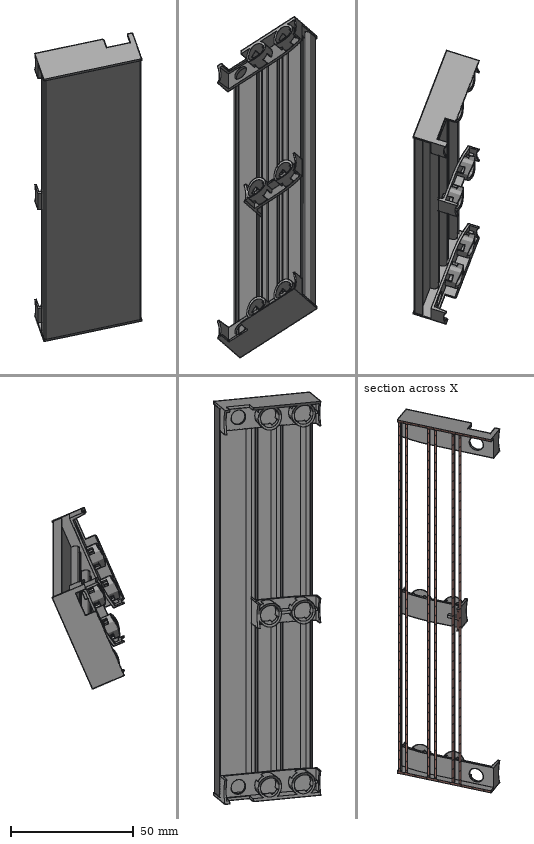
import cadquery as cq
import math

DEPTH = 14.3
WIDTH = 41.5
LENGTH = 168.0

RAIL_INSET = 0.2
RAIL_FAR_Y = WIDTH - RAIL_INSET
RAIL_BASE_FRONT = 11.5
RAIL_BACK_CHAMFER = 0.7
CHANNEL_RADIUS = 2.4
CHANNEL_BORE_RADIUS = 1.3
CHANNEL_SLOT = 2.0
CHANNEL_X = 10.5
OUTER_CHANNEL_Y = RAIL_INSET + CHANNEL_RADIUS
LOWERED_CHANNEL_YS = (15.3, 26.2)
CHANNEL_YS = (OUTER_CHANNEL_Y, *LOWERED_CHANNEL_YS)
LOWERED_TIP_FRONT = 8.7
LIP_WIDTH = 0.8
LIP_FRONT = 10.2
LIP_STEP_FRONT = 11.1

HOLDER_HEIGHT = 10.5
STRIP_THICKNESS = 1.0
STRIP_BACK = 6.5
STRIP_FRONT = STRIP_BACK - STRIP_THICKNESS
BEND_Y = 13.8
BEND_DROP = 1.7
BEND_RADIUS = (BEND_Y**2 + BEND_DROP**2) / (2 * BEND_DROP)
SIDE_WALL = 0.7
FRONT_HOLLOW_DEPTH = 1.2

SOCKET_DIAMETER = 10.0
SOCKET_BORE = 8.0
SOCKET_YS = (7.0, 21.7)
WINDOW_FRONT = 3.0
WINDOW_WIDTH = 3.0
WINDOW_ANGLES = (45, 135)
RIB_THICKNESS = 1.2
RIB_FRONT = 2.2

END_WALL = 1.2
CAP_FAR_WALL_TIP = 0.8
CAP_FAR_WALL_ROOT = 1.3
CAP_HOLE_DIAMETER = 6.2
CAP_HOLE_Y = 33.8
NOTCH_DEPTH = 4.7
NOTCH_Y_MIN = 29.2
NOTCH_Y_MAX = 39.3
NOTCH_CHAMFER = 0.5

MIDDLE_Z = LENGTH / 2 - HOLDER_HEIGHT
LEG_WIDTH = 1.0
LEG_OUTER_Y = CHANNEL_YS[-1] + CHANNEL_SLOT / 2
LEG_BACK = 11.1
LEG_FILLET = 1.0
REAR_RIB_BACK = 8.0


def block(x0, x1, y0, y1, z0, z1):
    """Axis-aligned box between two corners."""
    return cq.Workplane("XY").box(x1 - x0, y1 - y0, z1 - z0, centered=False).translate((x0, y0, z0))


def disc(radius, x, y, height):
    """Cylinder along Z."""
    return cq.Workplane("XY").center(x, y).circle(radius).extrude(height)


def make_rail():
    """Extruded rail between the two end walls."""
    height = LENGTH - 2 * END_WALL
    rail = block(RAIL_BASE_FRONT, DEPTH, RAIL_INSET, RAIL_FAR_Y, 0, height)
    rail = rail.edges("|Z and >X").chamfer(RAIL_BACK_CHAMFER)
    for step, front in enumerate((LIP_FRONT, LIP_STEP_FRONT)):
        outer_y = RAIL_FAR_Y - step * LIP_WIDTH
        rail = rail.union(block(front, RAIL_BASE_FRONT, outer_y - LIP_WIDTH, outer_y, 0, height))
    for y in CHANNEL_YS:
        rail = rail.union(disc(CHANNEL_RADIUS, CHANNEL_X, y, height))
        rail = rail.union(
            block(CHANNEL_X, RAIL_BASE_FRONT, y - CHANNEL_RADIUS, y + CHANNEL_RADIUS, 0, height)
        )
    for y in CHANNEL_YS:
        rail = rail.cut(disc(CHANNEL_BORE_RADIUS, CHANNEL_X, y, height))
        rail = rail.cut(
            block(0, CHANNEL_X, y - CHANNEL_SLOT / 2, y + CHANNEL_SLOT / 2, 0, height)
        )
    for y in LOWERED_CHANNEL_YS:
        rail = rail.cut(block(0, LOWERED_TIP_FRONT, y - CHANNEL_RADIUS, y, 0, height))
    return rail.translate((0, 0, END_WALL))


def bend_point(radius, y):
    """Point of the bend at the given y; the bend is tangent to the flat strip at BEND_Y."""
    return (STRIP_BACK - BEND_RADIUS + math.sqrt(radius**2 - (BEND_Y - y) ** 2), y)


def make_strip(far_y, far_wall_tip, far_wall_root):
    """Strip with a side wall at each end, flat at the far end and bent forward at the near end."""
    inner_radius = BEND_RADIUS - STRIP_THICKNESS
    return (
        cq.Workplane("XY")
        .moveTo(0, 0)
        .lineTo(*bend_point(BEND_RADIUS, 0))
        .threePointArc(bend_point(BEND_RADIUS, BEND_Y / 2), (STRIP_BACK, BEND_Y))
        .lineTo(STRIP_BACK, far_y)
        .lineTo(0, far_y)
        .lineTo(0, far_y - far_wall_tip)
        .lineTo(STRIP_FRONT, far_y - far_wall_root)
        .lineTo(STRIP_FRONT, BEND_Y)
        .threePointArc(bend_point(inner_radius, BEND_Y / 2), bend_point(inner_radius, SIDE_WALL))
        .lineTo(0, SIDE_WALL)
        .close()
        .extrude(HOLDER_HEIGHT)
    )


def space_before_strip_back():
    """Space in front of the back face of the strip, used to end sockets and ribs on it."""
    return (
        cq.Workplane("XY")
        .moveTo(0, 0)
        .lineTo(*bend_point(BEND_RADIUS, 0))
        .threePointArc(bend_point(BEND_RADIUS, BEND_Y / 2), (STRIP_BACK, BEND_Y))
        .lineTo(STRIP_BACK, WIDTH)
        .lineTo(0, WIDTH)
        .close()
        .extrude(HOLDER_HEIGHT)
    )


def x_cylinder(diameter, y, length):
    """Cylinder along X from the front plane, at mid-height of a holder."""
    return (
        cq.Workplane("YZ").center(y, HOLDER_HEIGHT / 2).circle(diameter / 2).extrude(length)
    )


def center_rib(x0, x1, y0, y1):
    """Thin rib at mid-height of a holder."""
    middle = HOLDER_HEIGHT / 2
    return block(x0, x1, y0, y1, middle - RIB_THICKNESS / 2, middle + RIB_THICKNESS / 2)


def make_socket(y):
    """Tube along X with four diagonal windows in its wall next to the strip."""
    socket = x_cylinder(SOCKET_DIAMETER, y, STRIP_BACK).cut(x_cylinder(SOCKET_BORE, y, STRIP_BACK))
    center = cq.Vector(0, y, HOLDER_HEIGHT / 2)
    half_width = WINDOW_WIDTH / 2
    slot = block(
        WINDOW_FRONT, STRIP_BACK, -SOCKET_DIAMETER, SOCKET_DIAMETER, -half_width, half_width
    )
    for angle in WINDOW_ANGLES:
        socket = socket.cut(slot.rotate((0, 0, 0), (1, 0, 0), angle).translate(center))
    return socket


def add_sockets(strip, rib_spans):
    """Add the two sockets and the ribs that brace them; each bore ends on the strip."""
    front_space = space_before_strip_back()
    for y0, y1 in rib_spans:
        rib = center_rib(RIB_FRONT, STRIP_BACK, y0, y1).intersect(front_space)
        for y in SOCKET_YS:
            rib = rib.cut(x_cylinder(SOCKET_BORE, y, STRIP_BACK))
        strip = strip.union(rib)
    for y in SOCKET_YS:
        strip = strip.union(make_socket(y).intersect(front_space))
    return strip


def hollow_front(holder):
    """Cut the concave front, a shallow cylinder along Y."""
    half = HOLDER_HEIGHT / 2
    radius = (half**2 + FRONT_HOLLOW_DEPTH**2) / (2 * FRONT_HOLLOW_DEPTH)
    cutter = (
        cq.Workplane("XZ")
        .center(FRONT_HOLLOW_DEPTH - radius, half)
        .circle(radius)
        .extrude(-WIDTH)
    )
    return holder.cut(cutter)


def make_end_cap():
    """Lower end cap: strip, sockets and end wall under the rail."""
    cap = make_strip(WIDTH, CAP_FAR_WALL_TIP, CAP_FAR_WALL_ROOT)
    cap = add_sockets(cap, [(0, SOCKET_YS[0])])
    cap = cap.cut(x_cylinder(CAP_HOLE_DIAMETER, CAP_HOLE_Y, STRIP_BACK))
    wall = block(0, DEPTH, 0, WIDTH, 0, END_WALL)
    notch = block(0, NOTCH_DEPTH, NOTCH_Y_MIN, NOTCH_Y_MAX, 0, END_WALL)
    wall = wall.cut(notch)
    wall = wall.edges(
        cq.selectors.NearestToPointSelector((0, NOTCH_Y_MIN, END_WALL / 2))
    ).chamfer(NOTCH_CHAMFER)
    return hollow_front(cap.union(wall))


def make_middle_holder():
    """Middle holder: strip, sockets, and a leg that plugs into a rail channel."""
    leg_inner_y = LEG_OUTER_Y - LEG_WIDTH
    holder = make_strip(LEG_OUTER_Y, LEG_WIDTH, LEG_WIDTH)
    holder = holder.union(block(0, LEG_BACK, leg_inner_y, LEG_OUTER_Y, 0, HOLDER_HEIGHT))
    holder = holder.edges(
        cq.selectors.NearestToPointSelector((STRIP_BACK, leg_inner_y, HOLDER_HEIGHT / 2))
    ).fillet(LEG_FILLET)
    holder = add_sockets(holder, [(0, SOCKET_YS[0]), SOCKET_YS])
    holder = holder.union(center_rib(STRIP_FRONT, REAR_RIB_BACK, SOCKET_YS[1], LEG_OUTER_Y))
    return hollow_front(holder).translate((0, 0, MIDDLE_Z))


rail = make_rail()
lower_cap = make_end_cap()
upper_cap = lower_cap.mirror("XY").translate((0, 0, LENGTH))
middle_holder = make_middle_holder()

result = cq.Compound.makeCompound(
    [rail.val(), lower_cap.val(), upper_cap.val(), middle_holder.val()]
)